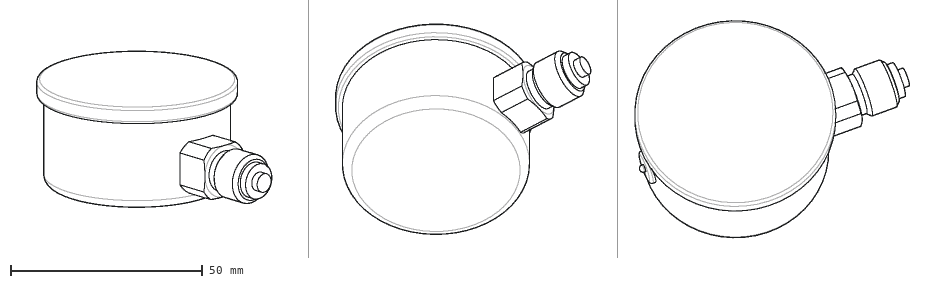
import cadquery as cq

overall_length = 74.9

height = 28.3
case_radius = 49.0 / 2
case_bottom_fillet = 2.5
rim_radius = 52.6 / 2
rim_height = 4.5
rim_fillet = 0.75

connector_z = 10.3
flats_width = 14.0
flats_corner_diameter = 16.5
flats_end_x = 32.95
flats_chamfer_length = 0.4
neck_diameter = 11.0
neck_end_x = 34.9
thread_diameter = 13.2
thread_end_x = 44.0
thread_chamfer = (thread_diameter - neck_diameter) / 2
collar_diameter = 9.5
collar_end_x = 46.0
spigot_diameter = 5.0
spigot_end_x = 48.0

plug_z = 13.0
plug_radius = 9.0 / 2
plug_face_x = -25.55
plug_fillet = 0.75
pin_radius = 2.0 / 2
pin_tip_x = spigot_end_x - overall_length


def cylinder_along_x(start_x, end_x, diameter, axis_z):
    """Cylinder between two X positions, on an axis parallel to X."""
    return (
        cq.Workplane("YZ", origin=(start_x, 0, axis_z))
        .circle(diameter / 2)
        .extrude(end_x - start_x)
    )


def make_case():
    cup = cq.Workplane("XY").circle(case_radius).extrude(height)
    cup = cup.faces("<Z").edges().fillet(case_bottom_fillet)
    rim = (
        cq.Workplane("XY", origin=(0, 0, height - rim_height))
        .circle(rim_radius)
        .extrude(rim_height)
        .edges()
        .fillet(rim_fillet)
    )
    return cup.union(rim)


def make_wrench_flats():
    """Square bar whose corners are turned round and bevelled at the outer end."""
    square = cq.Workplane("YZ", origin=(0, 0, connector_z)).rect(flats_width, flats_width).extrude(flats_end_x)
    straight_end_x = flats_end_x - flats_chamfer_length
    turned = cylinder_along_x(0, straight_end_x, flats_corner_diameter, connector_z)
    bevel = (
        cq.Workplane("YZ", origin=(straight_end_x, 0, connector_z))
        .circle(flats_corner_diameter / 2)
        .workplane(offset=flats_chamfer_length)
        .circle(flats_width / 2)
        .loft(ruled=True)
    )
    return square.intersect(turned.union(bevel))


def make_connector():
    neck = cylinder_along_x(0, neck_end_x, neck_diameter, connector_z)
    thread = cylinder_along_x(neck_end_x, thread_end_x, thread_diameter, connector_z)
    thread = thread.faces("<X or >X").edges().chamfer(thread_chamfer)
    collar = cylinder_along_x(neck_end_x, collar_end_x, collar_diameter, connector_z)
    spigot = cylinder_along_x(neck_end_x, spigot_end_x, spigot_diameter, connector_z)
    return make_wrench_flats().union(neck).union(thread).union(collar).union(spigot)


def make_vent_plug():
    """Round disc with a dome-ended pin at its centre."""
    disc = cylinder_along_x(plug_face_x, 0, 2 * plug_radius, plug_z)
    disc = disc.faces("<X").edges().fillet(plug_fillet)
    dome_centre_x = pin_tip_x + pin_radius
    pin = cylinder_along_x(dome_centre_x, 0, 2 * pin_radius, plug_z)
    dome = cq.Workplane("XY", origin=(dome_centre_x, 0, plug_z)).sphere(pin_radius)
    return disc.union(pin).union(dome)


result = make_case().union(make_connector()).union(make_vent_plug())